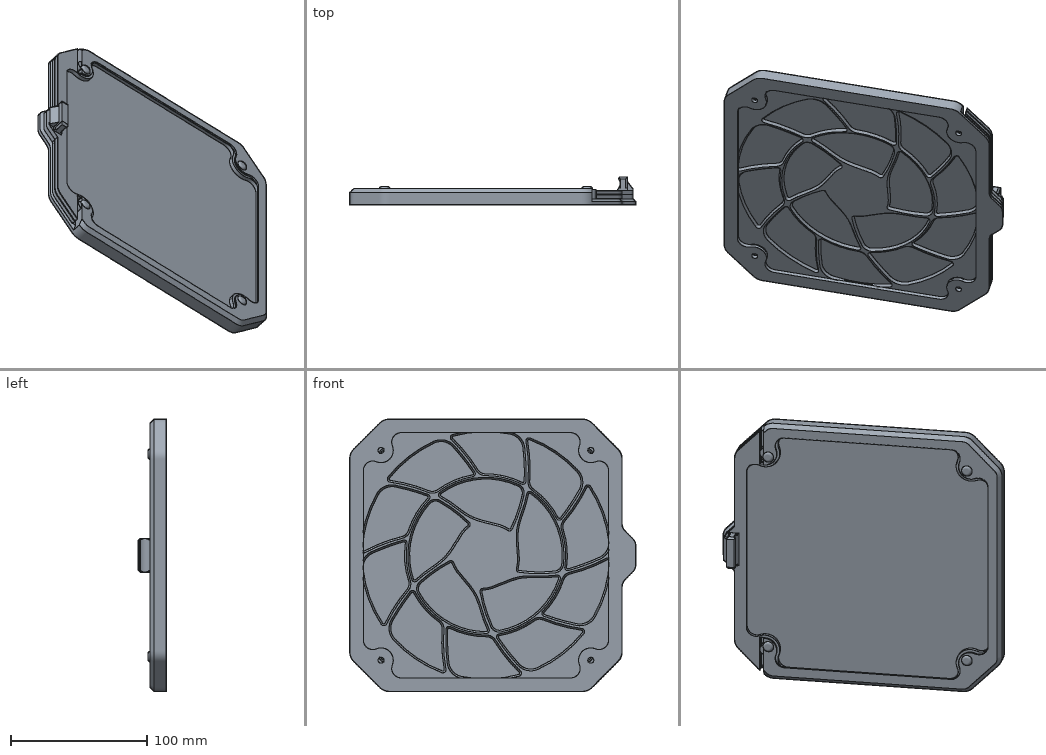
import cadquery as cq
import math

front_edge = 2.4
window_depth = 3.0
front_plate = 4.4
grille_back = 5.0
cassette_seam = 7.5
cassette_back = 10.6
boss_back = 11.4
frame_back = 12.0
pin_back = 13.5
latch_back = 20.6

half_size = 100.0
corner_cut = 25.0
corner_radius = 10.0
back_chamfer = 3.0
wall_end = 78.0
tab_reach = 10.0
tab_tip_half = 10.0
tab_root_radius = 8.0
tab_tip_radius = 7.0
rim_chamfer = front_plate - front_edge

lobe_center = 77.0
window_half = 90.0
window_lobe = 9.0
cavity_half = 94.0
cavity_lobe = 8.2
filter_half = 91.0
filter_lobe = 11.0
window_corner_radius = 7.0

sight_hole_diameter = 4.3
pin_center = 74.3
pin_diameter = 8.0
pin_bore_diameter = 5.6
pin_bore_depth = 2.0
pin_round = 2.0
boss_radius = 3.8

opening_draft = 1.3
inner_count = 5
outer_count = 10
inner_outer_radius = 57.3
outer_inner_radius = 58.5
outer_outer_radius = 92.0
tight_round = 2.3
inner_wide_round = 7.0
outer_root_round = 8.0
outer_tip_round = 13.0

head_start = 81.0
rail_half = 68.0
seam_chamfer = 0.3
latch_half_width = 12.5
latch_left = 97.3
latch_waist = 98.5
latch_right = 103.9
latch_lip = 1.1
lip_underside = 19.0
latch_top_chamfer = 1.6
latch_edge_chamfer = 1.4
foot_back = 12.3
foot_flare = 1.0
gusset_half_width = 9.0
gusset_top = 17.0
gusset_foot = 11.6


def slab(outline, y_front, y_back):
    """Extrude a closed XZ outline from y_front to y_back."""
    return outline.extrude(y_front - y_back).translate((0, y_front, 0))


def cylinder(x, z, diameter, y_front, y_back):
    return slab(cq.Workplane("XZ").center(x, z).circle(diameter / 2), y_front, y_back)


def corners(distance):
    return [(sx * distance, sz * distance) for sx in (-1, 1) for sz in (-1, 1)]


def lobed_outline(half, lobe_radius):
    """Square outline whose corners step inwards around a lobe, joined to it by round corners."""
    round_radius = window_corner_radius
    round_center = half - round_radius
    reach = lobe_radius + round_radius
    tangent = lobe_center - math.sqrt(reach**2 - (round_center - lobe_center) ** 2)
    share = lobe_radius / reach
    touch_near = lobe_center + (tangent - lobe_center) * share
    touch_far = lobe_center + (round_center - lobe_center) * share
    lobe_mid = lobe_center - lobe_radius * math.sqrt(0.5)
    blend = math.atan2(lobe_center - tangent, round_center - lobe_center)
    middle_angle = (math.pi - blend) / 2
    middle_near = tangent + round_radius * math.sin(middle_angle)
    middle_far = round_center + round_radius * math.cos(middle_angle)

    quarter = [
        (tangent, half),
        (middle_near, middle_far),
        (touch_near, touch_far),
        (lobe_mid, lobe_mid),
        (touch_far, touch_near),
        (middle_far, middle_near),
        (half, tangent),
    ]
    outline = cq.Workplane("XZ").moveTo(-tangent, half)
    for turn in range(4):
        points = []
        for u, v in quarter:
            for _ in range(turn):
                u, v = v, -u
            points.append((u, v))
        outline = outline.lineTo(*points[0])
        for i in (1, 3, 5):
            outline = outline.threePointArc(points[i], points[i + 1])
    return outline.close()


def octagon(y_back):
    side = 2 * half_size
    block = slab(cq.Workplane("XZ").rect(side, side), 0, y_back)
    block = block.edges("|Y").chamfer(corner_cut)
    return block.edges("|Y").fillet(corner_radius)


def tabbed_octagon(y_back):
    root_half = tab_tip_half + tab_reach
    tab_outline = [
        (0, root_half),
        (half_size, root_half),
        (half_size + tab_reach, tab_tip_half),
        (half_size + tab_reach, -tab_tip_half),
        (half_size, -root_half),
        (0, -root_half),
    ]
    body = octagon(y_back).union(slab(cq.Workplane("XZ").polyline(tab_outline).close(), 0, y_back))
    tip = cq.selectors.BoxSelector(
        (half_size + tab_reach - 1, -1, -half_size), (half_size + tab_reach + 1, y_back + 1, half_size)
    )
    root = cq.selectors.BoxSelector(
        (half_size - 1, -1, -root_half - 1), (half_size + 1, y_back + 1, root_half + 1)
    )
    body = body.edges("|Y").edges(tip).fillet(tab_tip_radius)
    return body.edges("|Y").edges(root).fillet(tab_root_radius)


def right_of(x):
    span = 4 * half_size
    return cq.Workplane("XY").box(span, span, span).translate((x + span / 2, 0, 0))


def make_frame():
    body = octagon(frame_back).faces(">Y").chamfer(back_chamfer).cut(right_of(wall_end))
    plate = tabbed_octagon(front_plate).faces(">Y").chamfer(rim_chamfer)
    body = body.union(plate.intersect(right_of(wall_end)))
    for z in (-lobe_center, lobe_center):
        body = body.union(cylinder(lobe_center, z, 2 * boss_radius, front_edge, boss_back))
    body = body.cut(slab(lobed_outline(window_half, window_lobe), 0, frame_back))
    body = body.cut(slab(lobed_outline(cavity_half, cavity_lobe), window_depth, cassette_back))
    for x, z in corners(lobe_center):
        body = body.cut(cylinder(x, z, sight_hole_diameter, 0, window_depth))
    for x, z in corners(pin_center):
        body = body.cut(cylinder(x, z, pin_diameter, window_depth, frame_back))
    return body


def make_pin(x, z):
    pin = cylinder(x, z, pin_diameter, window_depth, pin_back).faces(">Y").edges().fillet(pin_round)
    return pin.cut(cylinder(x, z, pin_bore_diameter, window_depth, window_depth + pin_bore_depth))


def on_circle(radius, x):
    return (x, math.sqrt(radius**2 - x**2))


def opening(outline, rounds):
    """Grille opening with rounded corners whose sloping walls close in towards the back.

    rounds pairs each corner point with its rounding radius.
    """
    cutter = slab(outline, front_edge, grille_back)
    for (x, z), radius in rounds:
        edge = cq.selectors.NearestToPointSelector((x, (front_edge + grille_back) / 2, z))
        cutter = cutter.edges("|Y").edges(edge).fillet(radius)
    return cutter.faces(">Y").chamfer(grille_back - window_depth, opening_draft)


def inner_opening():
    tip = on_circle(inner_outer_radius, 30.4)
    heel = (56.0, -math.sqrt(inner_outer_radius**2 - 56.0**2))
    hub_side = [(26.6, 33.0), (22.6, 19.0), (22.6, 7.0), (23.2, 0.0)]
    toe = (21.5, -12.0)
    outline = (
        cq.Workplane("XZ")
        .moveTo(*tip)
        .spline([*hub_side, toe], includeCurrent=True)
        .threePointArc((38.0, -13.5), heel)
        .threePointArc((inner_outer_radius, 0), tip)
        .close()
    )
    return opening(outline, [(tip, tight_round), (toe, tight_round), (heel, inner_wide_round)])


def outer_opening():
    root = on_circle(outer_inner_radius, -4.8)
    heel = on_circle(outer_inner_radius, 29.2)
    tip = on_circle(outer_outer_radius, 27.2)
    toe = on_circle(outer_outer_radius, -28.3)
    outline = (
        cq.Workplane("XZ")
        .moveTo(*root)
        .threePointArc((-15.5, 74.1), toe)
        .threePointArc((0, outer_outer_radius), tip)
        .threePointArc((29.4, 66.0), heel)
        .threePointArc(on_circle(outer_inner_radius, 10.0), root)
        .close()
    )
    rounds = [
        (root, outer_root_round),
        (heel, tight_round),
        (tip, outer_tip_round),
        (toe, tight_round),
    ]
    return opening(outline, rounds)


def make_grille():
    grille = slab(lobed_outline(cavity_half, cavity_lobe), window_depth, grille_back)
    for cutter, count in ((inner_opening(), inner_count), (outer_opening(), outer_count)):
        for i in range(count):
            grille = grille.cut(cutter.rotate((0, 0, 0), (0, 1, 0), i * 360 / count))
    return grille


def make_filter():
    return slab(lobed_outline(filter_half, filter_lobe), grille_back, cassette_seam)


def cassette_half(y_front, y_back, ring_front):
    """Ring that fills the frame's cavity, with a head and tab that close the open +X side."""
    depth = y_back - y_front
    plate_rim = tabbed_octagon(depth).faces("<Y").wires().val()
    inset = cq.Workplane("XZ").newObject(plate_rim.offset2D(-rim_chamfer)).toPending()
    tab = slab(inset, 0, depth)
    head = octagon(depth).faces("<Y or >Y").chamfer(seam_chamfer).union(tab)
    half = head.translate((0, y_front, 0)).intersect(right_of(head_start))
    neck_length = 2 * (head_start + seam_chamfer)
    half = half.union(slab(cq.Workplane("XZ").rect(neck_length, 2 * rail_half), ring_front, y_back))
    ring = slab(lobed_outline(cavity_half, cavity_lobe), ring_front, y_back)
    half = half.union(ring.cut(right_of(wall_end)))
    return half.cut(slab(lobed_outline(filter_half, filter_lobe), y_front, y_back))


def make_latch():
    """Upright catch with a lip on its inner side, a flared foot and a gusset down to the tab's tip."""
    post_profile = (
        cq.Workplane("XY")
        .moveTo(latch_right, cassette_back)
        .lineTo(latch_right, latch_back)
        .lineTo(latch_left + latch_lip, latch_back)
        .lineTo(latch_left, latch_back - latch_lip)
        .lineTo(latch_left, lip_underside)
        .threePointArc((latch_waist, (lip_underside + foot_back) / 2), (latch_left, foot_back))
        .lineTo(latch_left, cassette_back)
        .close()
    )
    post = post_profile.extrude(latch_half_width, both=True)
    post = post.faces(">Y").edges("|X").chamfer(latch_top_chamfer)
    plan = slab(
        cq.Workplane("XZ").center((latch_left + latch_right) / 2, 0).rect(
            latch_right - latch_left, 2 * latch_half_width
        ),
        cassette_back,
        latch_back,
    )
    post = post.intersect(plan.edges("|Y").chamfer(latch_edge_chamfer))

    foot_profile = [
        (latch_left - foot_flare, cassette_back),
        (latch_left, foot_back),
        (latch_right, foot_back),
        (latch_right, cassette_back),
    ]
    foot = cq.Workplane("XY").polyline(foot_profile).close().extrude(latch_half_width, both=True)

    tip = half_size + tab_reach - rim_chamfer
    gusset_profile = [
        (latch_right, gusset_top),
        (tip, gusset_foot),
        (tip, cassette_back),
        (latch_right, cassette_back),
    ]
    gusset = cq.Workplane("XY").polyline(gusset_profile).close().extrude(gusset_half_width, both=True)
    return post.union(foot).union(gusset)


frame = make_frame()
grille = make_grille()
filter_sheet = make_filter()
cassette_front = cassette_half(front_plate, cassette_seam, grille_back)
cassette_rear = cassette_half(cassette_seam, cassette_back, cassette_seam).union(make_latch())
pins = [make_pin(x, z) for x, z in corners(pin_center)]

result = cq.Compound.makeCompound(
    [
        frame.val(),
        grille.val(),
        filter_sheet.val(),
        cassette_front.val(),
        cassette_rear.val(),
        *[pin.val() for pin in pins],
    ]
)